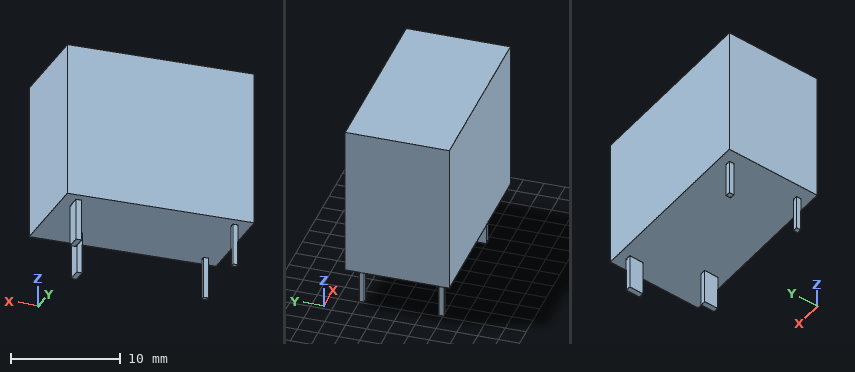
import cadquery as cq

total_height = 19.0
pin_length = 4.0

housing_length = 18.2
housing_width = 10.0
housing_height = total_height - pin_length

coil_pin_side = 0.5
contact_pin_thickness = 0.55
contact_pin_width = 1.5

coil_pin_inset = 1.5
coil_pin_spacing = 7.62
front_contact_distance = 12.7
contact_pin_stagger = 2.55

coil_pin_x = coil_pin_inset - housing_length / 2
front_contact_x = coil_pin_x + front_contact_distance
rear_contact_x = front_contact_x + contact_pin_stagger

coil_pin_y = coil_pin_spacing / 2
pin_outer_edge_y = coil_pin_y + coil_pin_side / 2
contact_pin_y = pin_outer_edge_y - contact_pin_width / 2


def make_housing():
    """Plain rectangular relay housing."""
    return cq.Workplane("XY").rect(housing_length, housing_width).extrude(housing_height)


def make_pin(size_x, size_y, x, y):
    """Rectangular pin hanging from the housing underside."""
    return cq.Workplane("XY").center(x, y).rect(size_x, size_y).extrude(-pin_length)


housing = make_housing()

coil_pins = [
    make_pin(coil_pin_side, coil_pin_side, coil_pin_x, y)
    for y in (-coil_pin_y, coil_pin_y)
]

contact_pins = [
    make_pin(contact_pin_thickness, contact_pin_width, x, y)
    for x, y in ((front_contact_x, -contact_pin_y), (rear_contact_x, contact_pin_y))
]

result = cq.Compound.makeCompound(
    [housing.val()] + [pin.val() for pin in coil_pins + contact_pins]
)